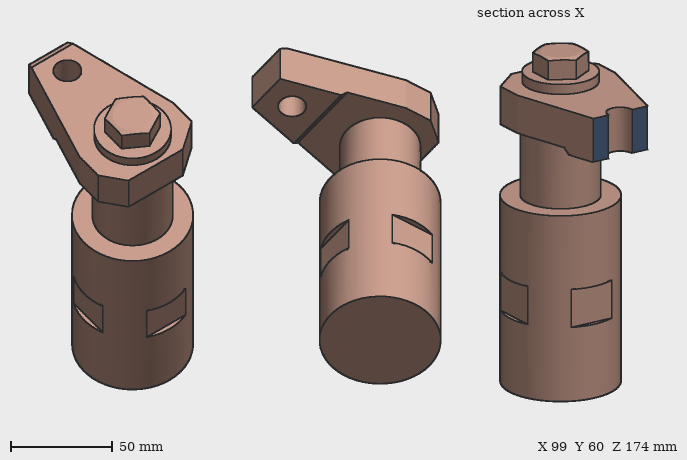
import cadquery as cq
import math


HOUSING_DIAMETER = 60.0
HOUSING_HEIGHT = 98.0
FLAT_COUNT = 4
FLAT_ACROSS = 55.0
FLAT_BOTTOM = 39.0
FLAT_HEIGHT = 20.0

ROD_DIAMETER = 40.0
ROD_LENGTH = 40.0
NECK_DIAMETER = 20.9
WASHER_DIAMETER = 38.1
TOTAL_HEIGHT = 174.0
HEAD_HEIGHT = 10.8
HEX_SIDES = 6
HEX_ACROSS_FLATS = 24.0
HEX_TOP_DIAMETER = 19.7
HEX_CORNER_DROP = 0.9

ARM_THICKNESS = 20.0
ARM_WIDTH = 58.1
ARM_TIP_WIDTH = 24.0
OVERALL_LENGTH = 99.0
ARM_TIP_X = HOUSING_DIAMETER / 2 - OVERALL_LENGTH
ARM_TAPER_X = -5.0
ARM_CORNER_X = 10.1
ARM_BACK_X = 22.0
BACK_CORNER_NEGATIVE_Y = -19.1
BACK_CORNER_POSITIVE_Y = 14.6
PAD_DROP = 3.1
PAD_END_X = -38.0
TIP_CHAMFER_LENGTH = 3.3
TIP_CHAMFER_HEIGHT = 1.5
TIP_HOLE_DIAMETER = 14.0
TIP_HOLE_X = -53.2

ARM_BOTTOM = HOUSING_HEIGHT + ROD_LENGTH
ARM_TOP = ARM_BOTTOM + ARM_THICKNESS
HEAD_BOTTOM = TOTAL_HEIGHT - HEAD_HEIGHT
PAD_BOTTOM = ARM_BOTTOM - PAD_DROP


def cylinder(diameter, bottom, top):
    """Upright cylinder on the Z axis."""
    return cq.Workplane("XY").workplane(offset=bottom).circle(diameter / 2).extrude(top - bottom)


def make_housing():
    """Cylinder with evenly spaced wrench flats around its middle."""
    body = cylinder(HOUSING_DIAMETER, 0, HOUSING_HEIGHT)
    cutter = cq.Workplane("XY").box(
        HOUSING_DIAMETER, HOUSING_DIAMETER, FLAT_HEIGHT, centered=(False, True, False)
    ).translate((FLAT_ACROSS / 2, 0, FLAT_BOTTOM))
    for index in range(FLAT_COUNT):
        angle = index * 360 / FLAT_COUNT
        body = body.cut(cutter.rotate((0, 0, 0), (0, 0, 1), angle))
    return body


def make_hex_head():
    """Hexagon with corners on the X axis, its top trimmed by a shallow cone."""
    corner_radius = HEX_ACROSS_FLATS / math.sqrt(3)
    hexagon = (
        cq.Workplane("XY").workplane(offset=HEAD_BOTTOM)
        .polygon(HEX_SIDES, 2 * corner_radius).extrude(HEAD_HEIGHT)
    )
    envelope = (
        cq.Workplane("XZ")
        .moveTo(0, HEAD_BOTTOM)
        .lineTo(corner_radius, HEAD_BOTTOM)
        .lineTo(corner_radius, TOTAL_HEIGHT - HEX_CORNER_DROP)
        .lineTo(HEX_TOP_DIAMETER / 2, TOTAL_HEIGHT)
        .lineTo(0, TOTAL_HEIGHT)
        .close()
        .revolve(360, (0, 0, 0), (0, 1, 0))
    )
    return hexagon.intersect(envelope)


def make_rod():
    """Rod standing on the housing, with a neck through the arm and a flanged head above it."""
    rod = cylinder(ROD_DIAMETER, HOUSING_HEIGHT, ARM_BOTTOM)
    neck = cylinder(NECK_DIAMETER, ARM_BOTTOM, ARM_TOP)
    washer = cylinder(WASHER_DIAMETER, ARM_TOP, HEAD_BOTTOM)
    return rod.union(neck).union(washer).union(make_hex_head())


def make_arm():
    """Tapered arm: plan outline limited by a side profile with a thicker clamping pad."""
    half_width = ARM_WIDTH / 2
    half_tip = ARM_TIP_WIDTH / 2
    plan = (
        cq.Workplane("XY").workplane(offset=PAD_BOTTOM)
        .polyline([
            (ARM_TIP_X, -half_tip),
            (ARM_TAPER_X, -half_width),
            (ARM_CORNER_X, -half_width),
            (ARM_BACK_X, BACK_CORNER_NEGATIVE_Y),
            (ARM_BACK_X, BACK_CORNER_POSITIVE_Y),
            (ARM_CORNER_X, half_width),
            (ARM_TAPER_X, half_width),
            (ARM_TIP_X, half_tip),
        ])
        .close().extrude(ARM_TOP - PAD_BOTTOM)
    )
    side = (
        cq.Workplane("XZ")
        .polyline([
            (ARM_TIP_X, PAD_BOTTOM),
            (PAD_END_X, PAD_BOTTOM),
            (PAD_END_X + PAD_DROP, ARM_BOTTOM),
            (ARM_BACK_X, ARM_BOTTOM),
            (ARM_BACK_X, ARM_TOP),
            (ARM_TIP_X + TIP_CHAMFER_LENGTH, ARM_TOP),
            (ARM_TIP_X, ARM_TOP - TIP_CHAMFER_HEIGHT),
        ])
        .close().extrude(half_width, both=True)
    )
    tip_hole = cylinder(TIP_HOLE_DIAMETER, PAD_BOTTOM, ARM_TOP).translate((TIP_HOLE_X, 0, 0))
    neck_hole = cylinder(NECK_DIAMETER, PAD_BOTTOM, ARM_TOP)
    return plan.intersect(side).cut(tip_hole).cut(neck_hole)


housing = make_housing()
rod = make_rod()
arm = make_arm()

result = cq.Compound.makeCompound([
    housing.solids().val(),
    rod.solids().val(),
    arm.solids().val(),
])